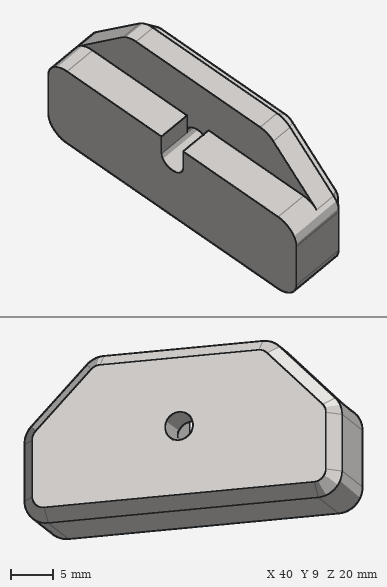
import cadquery as cq
import math

width = 40.0
depth = 9.0
height = 20.0

corner_radius = 3.0
back_chamfer = 1.5

step_depth = depth / 2
step_height = 13.0

hole_diameter = 3.5
hole_height = 10.0

upper_arc_height = step_height - corner_radius
shoulder_start = upper_arc_height + corner_radius * math.tan(math.radians(22.5))
shoulder_run = height - shoulder_start
top_half_width = width / 2 - shoulder_run


def make_back_plate():
    outline = [
        (-width / 2, 0),
        (width / 2, 0),
        (width / 2, shoulder_start),
        (top_half_width, height),
        (-top_half_width, height),
        (-width / 2, shoulder_start),
    ]
    plate = (
        cq.Workplane("XZ", origin=(0, depth, 0))
        .polyline(outline)
        .close()
        .extrude(depth - step_depth)
    )
    return plate.edges("|Y").fillet(corner_radius).faces(">Y").chamfer(back_chamfer)


def make_front_block():
    block = cq.Workplane("XY").box(width, step_depth, step_height, centered=(True, False, False))
    return block.edges("|Y").fillet(corner_radius)


def make_slot():
    slot_length = step_height - hole_height
    return cq.Workplane("XY", origin=(0, 0, hole_height)).box(
        hole_diameter, step_depth, slot_length, centered=(True, False, False)
    )


def make_hole():
    return (
        cq.Workplane("XZ", origin=(0, depth, hole_height))
        .circle(hole_diameter / 2)
        .extrude(depth)
    )


result = make_back_plate().union(make_front_block()).cut(make_slot()).cut(make_hole())